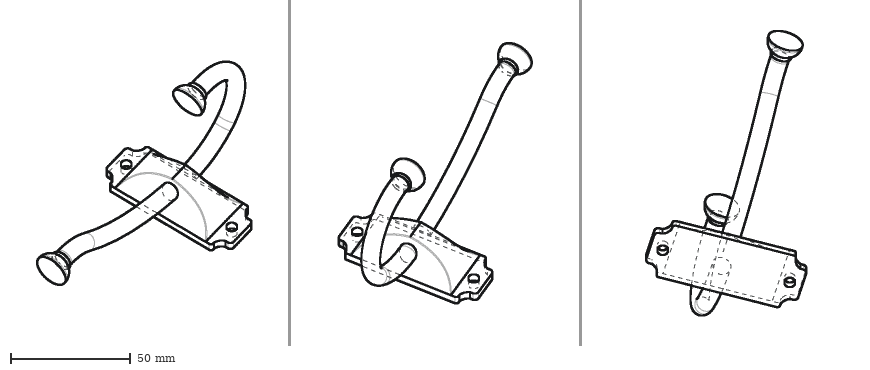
import cadquery as cq
import math

plate_length = 66.5
plate_width = 26.0
plate_thickness = 4.0
plate_corner = 1.2
ear_width = 15.3
ear_corner = 1.7
body_length = 54.0
notch_depth_x = 3.2
notch_step_y = 3.5
notch_radius = 5.4
hole_diameter = 4.5
hole_spacing = 55.6

saddle_length = 47.8
saddle_top = 20.0
arch_radius = 34.9
crest_width = 9.7
flank_radius = 20.8
rim_fillet = 0.4

rod_diameter = 7.9
hook_height = 12.1
hook_bend_y = 7.1
hook_lower_radius = 37.0
hook_middle_radius = 29.5
hook_upper_radius = 23.1
hook_lower_angle = 38.8
hook_middle_angle = 46.3
hook_end_angle = 187.5
arm_height = 11.8
arm_low_y = 12.9
arm_long_radius = 131.6
arm_blend_angle = 36.0
arm_end_radius = 25.9
arm_tip_y = -81.0

collar_diameter = 9.1
collar_length = 1.7
neck_diameter = 8.0
bowl_mid_diameter = 13.3
bowl_mid_length = 2.3
bowl_length = 5.0
knob_diameter = 15.0
rim_length = 1.1
dome_height = 2.0


def plate():
    """Plate with a narrower drilled ear at each end."""
    half_body = body_length / 2
    half_ear = ear_width / 2
    blank = (
        cq.Workplane("XY")
        .rect(plate_length, ear_width)
        .extrude(plate_thickness)
        .edges("|Z")
        .fillet(ear_corner)
    )
    body = cq.Workplane("XY").rect(body_length, plate_width).extrude(plate_thickness)
    blank = blank.union(body.edges("|Z").fillet(plate_corner))
    for side_x in (-1, 1):
        for side_y in (-1, 1):
            flank_y = half_ear + notch_step_y
            start = (side_x * half_body, side_y * flank_y)
            end = (side_x * (half_body + notch_depth_x), side_y * half_ear)
            bulge = notch_radius if side_x == side_y else -notch_radius
            web = (
                cq.Workplane("XY")
                .moveTo(side_x * half_body, side_y * half_ear)
                .lineTo(*start)
                .radiusArc(end, -bulge)
                .close()
                .extrude(plate_thickness)
            )
            blank = blank.union(web)
    holes = (
        cq.Workplane("XY")
        .pushPoints([(-hole_spacing / 2, 0), (hole_spacing / 2, 0)])
        .circle(hole_diameter / 2)
        .extrude(plate_thickness)
    )
    return blank.cut(holes)


def saddle():
    """Slightly pointed arch along X, pinched to the crest by two concave flanks."""
    half_length = saddle_length / 2
    half_foot = plate_width / 2
    half_crest = crest_width / 2
    arch = (
        cq.Workplane("XZ")
        .moveTo(-half_length, plate_thickness)
        .radiusArc((0, saddle_top), arch_radius)
        .radiusArc((half_length, plate_thickness), arch_radius)
        .close()
        .extrude(half_foot, both=True)
    )
    flanks = (
        cq.Workplane("YZ")
        .moveTo(-half_foot, plate_thickness)
        .radiusArc((-half_crest, saddle_top), -flank_radius)
        .lineTo(half_crest, saddle_top)
        .radiusArc((half_foot, plate_thickness), -flank_radius)
        .close()
        .extrude(half_length, both=True)
    )
    pinched = arch.intersect(flanks)
    rims = pinched.edges("not(#Z or |Y)").edges("not(|X)")
    return rims.fillet(rim_fillet)


def on_circle(centre, radius, angle):
    """Point on a circle in the YZ plane, the angle measured from +Y toward +Z."""
    turn = math.radians(angle)
    return centre[0] + radius * math.cos(turn), centre[1] + radius * math.sin(turn)


def rod(path, start, direction):
    """Round rod swept along a path that leaves its start in the given YZ direction."""
    plane = cq.Plane(origin=(0, *start), xDir=(1, 0, 0), normal=(0, *direction))
    return cq.Workplane(plane).circle(rod_diameter / 2).sweep(path)


def knob(start, axis):
    """Knob turned about an axis lying in the YZ plane."""
    neck_at = collar_length
    rim_at = neck_at + bowl_length
    dome_at = rim_at + rim_length
    plane = cq.Plane(origin=(0, *start), xDir=(0, axis[1], -axis[0]), normal=(1, 0, 0))
    rim_radius = knob_diameter / 2
    dome_radius = (rim_radius**2 + dome_height**2) / (2 * dome_height)
    collar_edge = (collar_diameter - neck_diameter) / 2
    return (
        cq.Workplane(plane)
        .lineTo(neck_diameter / 2, 0)
        .threePointArc(
            (neck_diameter / 2 + collar_edge, collar_length / 2),
            (neck_diameter / 2, neck_at),
        )
        .threePointArc((bowl_mid_diameter / 2, neck_at + bowl_mid_length), (rim_radius, rim_at))
        .lineTo(rim_radius, dome_at)
        .radiusArc((0, dome_at + dome_height), -dome_radius)
        .close()
        .revolve(360, (0, 0, 0), (0, 1, 0))
    )


def hook():
    """Rear arm: three bends of shrinking radius that curl back over the base."""
    bends = [
        (hook_lower_radius, hook_lower_angle),
        (hook_middle_radius, hook_middle_angle),
        (hook_upper_radius, hook_end_angle),
    ]
    start = (0, hook_height)
    tip = (hook_bend_y, hook_height)
    path = cq.Workplane("YZ").moveTo(*start).lineTo(*tip)
    turned = 0.0
    for radius, end_angle in bends:
        centre = on_circle(tip, radius, turned + 90)
        middle = on_circle(centre, radius, (turned + end_angle) / 2 - 90)
        tip = on_circle(centre, radius, end_angle - 90)
        path = path.threePointArc(middle, tip)
        turned = end_angle
    axis = on_circle((0, 0), 1, hook_end_angle)
    return rod(path, start, (1, 0)).union(knob(tip, axis))


def long_arm():
    """Front arm: a long rising sweep that levels out at the knob."""
    lower_centre = (arm_low_y, arm_height + arm_long_radius)
    blend_direction = -90 - arm_blend_angle
    start_direction = -90 - math.degrees(math.asin(arm_low_y / arm_long_radius))
    start = on_circle(lower_centre, arm_long_radius, start_direction)
    middle_direction = (start_direction + blend_direction) / 2
    blend = on_circle(lower_centre, arm_long_radius, blend_direction)
    upper_centre = on_circle(blend, arm_end_radius, blend_direction)
    level = on_circle(upper_centre, arm_end_radius, 90)
    tip = (arm_tip_y, level[1])
    path = (
        cq.Workplane("YZ")
        .moveTo(*start)
        .threePointArc(on_circle(lower_centre, arm_long_radius, middle_direction), blend)
        .threePointArc(on_circle(upper_centre, arm_end_radius, 90 - arm_blend_angle / 2), level)
        .lineTo(*tip)
    )
    heading = on_circle((0, 0), 1, start_direction - 90)
    return rod(path, start, heading).union(knob(tip, (-1, 0)))


result = plate().union(saddle()).union(hook()).union(long_arm())